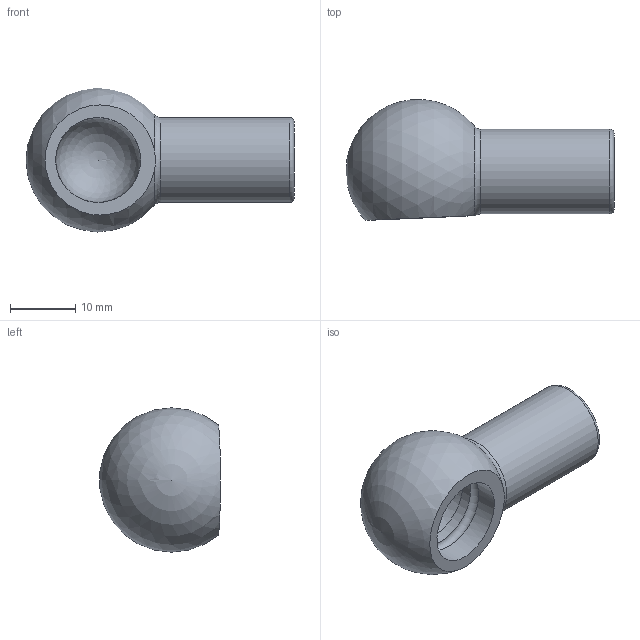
import cadquery as cq
import math

ball_radius = 11.05
shank_radius = 6.5
shank_end_x = 30.0
end_round_radius = 0.65
neck_fillet_radius = 1.3

socket_radius = 6.5
face_distance = 7.13
face_tilt = 2.5

groove_center_y = -2.6
groove_section_radius = 0.87

neck_center_radius = shank_radius + neck_fillet_radius
neck_center_distance = ball_radius + neck_fillet_radius
neck_end_x = math.sqrt(neck_center_distance**2 - neck_center_radius**2)
ball_share = ball_radius / neck_center_distance
neck_start = (neck_end_x * ball_share, neck_center_radius * ball_share)
neck_end = (neck_end_x, shank_radius)


def make_body():
    """Ball, filleted neck and round-ended shank, revolved about the X axis."""
    neck_start_angle = math.asin(neck_center_radius / neck_center_distance)
    neck_middle_angle = (neck_start_angle + math.pi / 2) / 2
    neck_middle = (
        neck_end_x - neck_fillet_radius * math.cos(neck_middle_angle),
        neck_center_radius - neck_fillet_radius * math.sin(neck_middle_angle),
    )
    profile = (
        cq.Workplane("XY")
        .moveTo(-ball_radius, 0)
        .threePointArc((0, ball_radius), neck_start)
        .threePointArc(neck_middle, neck_end)
        .lineTo(shank_end_x, shank_radius)
        .lineTo(shank_end_x, 0)
        .close()
    )
    body = profile.revolve(360, (0, 0, 0), (1, 0, 0))
    return body.faces(">X").edges().fillet(end_round_radius)


def make_mouth_cutter():
    """Block whose +Y side is the slanted mouth face; it stops short of the shank."""
    size = 2 * ball_radius
    block = cq.Workplane("XY").box(size, size, size)
    block = block.translate((0, -face_distance - size / 2, 0))
    return block.rotate((0, 0, 0), (0, 0, 1), face_tilt)


def make_socket():
    """Round bore with a hemispherical end at the ball centre, revolved about the Y axis."""
    dome_middle = socket_radius * math.sqrt(0.5)
    profile = (
        cq.Workplane("XY")
        .moveTo(0, socket_radius)
        .threePointArc((dome_middle, dome_middle), (socket_radius, 0))
        .lineTo(socket_radius, -ball_radius)
        .lineTo(0, -ball_radius)
        .close()
    )
    return profile.revolve(360, (0, 0, 0), (0, 1, 0))


def make_ring_groove():
    """Ring of round section centred on the socket wall."""
    section = cq.Workplane("XY").center(-socket_radius, groove_center_y).circle(groove_section_radius)
    return section.revolve(360, (socket_radius, 0, 0), (socket_radius, 1, 0))


result = make_body().cut(make_mouth_cutter()).cut(make_socket()).cut(make_ring_groove())